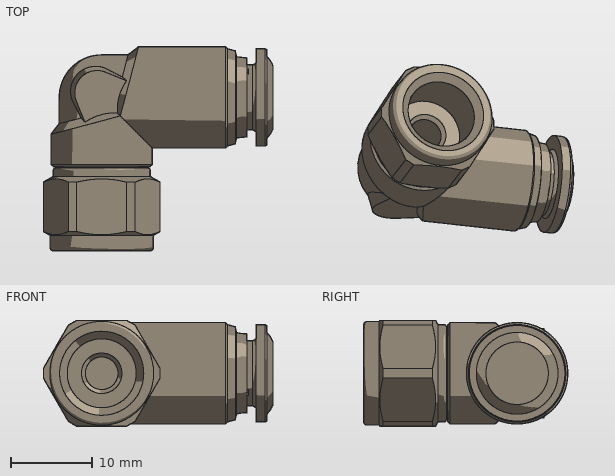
import cadquery as cq
import math


elbow_radius = 5.25
collar_radius = 6.25
collar_cut_angle = 15.0
collar_cut_offset = 1.73
collar_edge_chamfer = 1.13
nut_collar_end = 8.55
tube_collar_end = 15.25
nut_collar_end_chamfer = 0.3

pad_height = 5.5
pad_depth = 2.83
pad_radius = 2.75
pad_offset = 0.57
pad_flare_angle = 23.0
pad_side_length = 4.52
pad_tip = 2.55
pad_draft = 15.0

neck_radius = 4.65
nut_start = 8.68
nut_shoulder = 9.73
nut_shoulder_radius = 6.0
nut_shoulder_fillet = 0.35
hex_across_flats = 13.05
hex_corner_radius = 7.18
hex_cone_angle = 30.0
nut_rim_start = 16.97
nut_rim_radius = 6.4
nut_rim_fillet = 0.48
nut_end = 18.9

bore_radius = 4.25
bore_depth = 7.35
bore_mouth_radius = 5.18
bore_mouth_depth = 0.85
seat_radius = 2.5
passage_radius = 2.0

end_cap_start = 15.47
end_cap_start_radius = 6.0
end_cap_end = 16.43
end_cap_end_radius = 5.75
sleeve_start = 16.6
sleeve_start_radius = 5.0
sleeve_end = 17.87
sleeve_end_radius = 4.86
collet_radius = 4.02
collet_flare_start = 18.55
collet_flare_radius = 4.3
collet_flare_sag = 0.03
flange_start = 19.0
flange_radius = 6.0
flange_end = 20.33
flange_edge_length = 0.25
flange_edge_depth = 0.1
nose_base_radius = 5.03
nose_end = 21.1
nose_end_radius = 3.85
nose_bulge = 0.05
notch_width = 0.85
notch_length = 0.17
notch_depth = 0.57
notch_angle = 36.4

tan_cone = math.tan(math.radians(hex_cone_angle))


def cylinder_along_nut(radius, start, end):
    """Cylinder on the nut axis between two distances from the elbow centre."""
    return cq.Workplane("XZ").workplane(offset=start).circle(radius).extrude(end - start)


def turn_to_tube_branch(solid):
    """Half turn about the elbow diagonal, carrying the -Y branch onto +X."""
    return solid.rotate((0, 0, 0), (1, -1, 0), 180)


def collar(end):
    """Collar on the nut axis whose tilted inner end is chamfered down to the elbow."""
    rise = 2 * collar_radius * math.tan(math.radians(collar_cut_angle))
    keep = (
        cq.Workplane("XY")
        .polyline([
            (-2 * collar_radius, -collar_cut_offset - rise),
            (2 * collar_radius, -collar_cut_offset + rise),
            (2 * collar_radius, -end),
            (-2 * collar_radius, -end),
        ])
        .close()
        .extrude(collar_radius * 2, both=True)
    )
    blank = cylinder_along_nut(collar_radius, -collar_radius, end).intersect(keep)
    return blank.faces(">Y").edges().chamfer(collar_edge_chamfer)


def elbow_body():
    nut_leg = cylinder_along_nut(elbow_radius, 0, nut_collar_end - nut_collar_end_chamfer)
    nut_collar = collar(nut_collar_end).faces("<Y").edges().chamfer(nut_collar_end_chamfer)
    tube_leg = turn_to_tube_branch(nut_leg)
    tube_collar = turn_to_tube_branch(collar(tube_collar_end))
    ball = cq.Workplane("XY").sphere(elbow_radius)
    return ball.union(nut_leg).union(tube_leg).union(nut_collar).union(tube_collar)


def pad():
    """Drafted teardrop pad on the +Z side, symmetric about the elbow diagonal."""
    side_angle = math.radians(pad_flare_angle - 45)
    side_x, side_y = math.cos(side_angle), math.sin(side_angle)
    tangent_x = -pad_offset - pad_radius * side_y
    tangent_y = pad_offset + pad_radius * side_x
    corner_x = tangent_x + pad_side_length * side_x
    corner_y = tangent_y + pad_side_length * side_y
    crown = pad_offset + pad_radius * math.sqrt(0.5)
    return (
        cq.Workplane("XY", origin=(0, 0, pad_height))
        .moveTo(tangent_x, tangent_y)
        .threePointArc((-crown, crown), (-tangent_y, -tangent_x))
        .lineTo(-corner_y, -corner_x)
        .lineTo(pad_tip, -pad_tip)
        .lineTo(corner_x, corner_y)
        .close()
        .extrude(-pad_depth, taper=-pad_draft)
    )


def nut_hex():
    """Hexagon with flat-cut corners and a cone at each end."""
    length = nut_rim_start - nut_shoulder
    plane = cq.Workplane("XZ", origin=(0, -nut_shoulder, 0))
    hexagon = (
        plane.transformed(rotate=(0, 0, 30))
        .polygon(6, hex_across_flats, circumscribed=True)
        .extrude(length)
    )
    corner_cut = plane.polygon(6, 2 * hex_corner_radius, circumscribed=True).extrude(length)
    full_radius = hex_across_flats / math.sqrt(3)
    cones = (
        cq.Workplane("XY")
        .moveTo(0, -nut_shoulder)
        .lineTo(nut_shoulder_radius, -nut_shoulder)
        .lineTo(full_radius, -nut_shoulder - (full_radius - nut_shoulder_radius) * tan_cone)
        .lineTo(full_radius, -nut_rim_start + (full_radius - nut_rim_radius) * tan_cone)
        .lineTo(nut_rim_radius, -nut_rim_start)
        .lineTo(0, -nut_rim_start)
        .close()
        .revolve(360, (0, 0, 0), (0, 1, 0))
    )
    return hexagon.intersect(corner_cut).intersect(cones)


def nut():
    neck = cylinder_along_nut(neck_radius, 0, nut_shoulder)
    shoulder = cylinder_along_nut(nut_shoulder_radius, nut_start, nut_shoulder)
    shoulder = shoulder.faces(">Y").edges().fillet(nut_shoulder_fillet)
    rim = cylinder_along_nut(nut_rim_radius, nut_rim_start, nut_end)
    rim = rim.faces("<Y").edges().fillet(nut_rim_fillet)
    return neck.union(shoulder).union(nut_hex()).union(rim)


def nut_bore():
    """Countersunk bore with a bevelled seat leading into the central passage."""
    floor = nut_end - bore_depth
    seat_bevel = seat_radius - passage_radius
    return (
        cq.Workplane("XY")
        .polyline([
            (0, -nut_end),
            (bore_mouth_radius, -nut_end),
            (bore_radius, -nut_end + bore_mouth_depth),
            (bore_radius, -floor),
            (seat_radius, -floor),
            (passage_radius, -floor + seat_bevel),
            (passage_radius, 0),
            (0, 0),
        ])
        .close()
        .revolve(360, (0, 0, 0), (0, 1, 0))
    )


def tube_end():
    """Turned end cap, sleeve and flanged release collet of the tube branch."""
    flare_middle = (
        (collet_flare_start + flange_start) / 2 + collet_flare_sag,
        (collet_radius + collet_flare_radius) / 2 - collet_flare_sag,
    )
    nose_middle = (
        (flange_end + nose_end) / 2 + nose_bulge,
        (nose_base_radius + nose_end_radius) / 2 + nose_bulge,
    )
    return (
        cq.Workplane("XY")
        .moveTo(elbow_radius, 0)
        .lineTo(elbow_radius, collar_radius)
        .lineTo(tube_collar_end, collar_radius)
        .lineTo(end_cap_start, end_cap_start_radius)
        .lineTo(end_cap_end, end_cap_end_radius)
        .lineTo(sleeve_start, sleeve_start_radius)
        .lineTo(sleeve_end, sleeve_end_radius)
        .lineTo(sleeve_end, collet_radius)
        .lineTo(collet_flare_start, collet_radius)
        .threePointArc(flare_middle, (flange_start, collet_flare_radius))
        .lineTo(flange_start, flange_radius)
        .lineTo(flange_end - flange_edge_length, flange_radius)
        .lineTo(flange_end, flange_radius - flange_edge_depth)
        .lineTo(flange_end, nose_base_radius)
        .threePointArc(nose_middle, (nose_end, nose_end_radius))
        .lineTo(nose_end, 0)
        .close()
        .revolve(360, (0, 0, 0), (1, 0, 0))
    )


def collet_notches():
    """Pair of opposite notches in the collet, right beside the sleeve."""
    return (
        cq.Workplane("YZ", origin=(sleeve_end, 0, 0))
        .transformed(rotate=(0, 0, notch_angle))
        .pushPoints([(-collet_radius, 0), (collet_radius, 0)])
        .rect(2 * notch_depth, notch_width)
        .extrude(notch_length)
    )


upper_pad = pad()
lower_pad = upper_pad.mirror("XY")

result = (
    elbow_body()
    .union(upper_pad)
    .union(lower_pad)
    .union(nut())
    .union(tube_end().cut(collet_notches()))
    .cut(nut_bore())
)